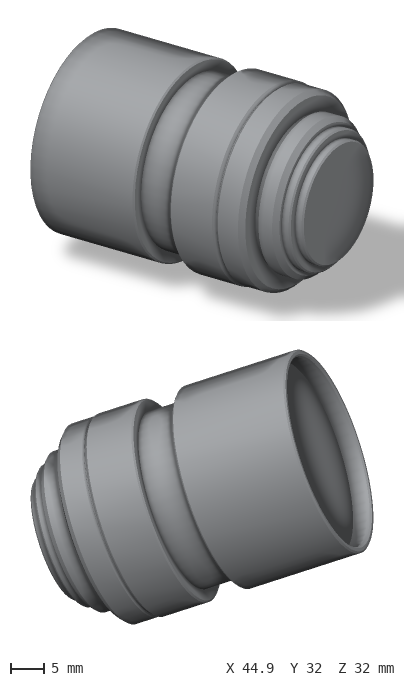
import cadquery as cq


EDGE_BREAK = 0.25
SHOULDER_CHAMFER = 0.8
FOCUS_REAR_CHAMFER = 0.45

STEPS = [
    (18.7, 16.0, EDGE_BREAK, EDGE_BREAK),
    (25.1, 14.0, 0, 0),
    (33.15, 16.0, EDGE_BREAK, FOCUS_REAR_CHAMFER),
    (33.35, 15.5, 0, 0),
    (38.0, 15.8, EDGE_BREAK, SHOULDER_CHAMFER),
    (38.85, 12.25, 0, 0),
    (42.1, 12.7, 0, SHOULDER_CHAMFER),
    (43.55, 11.25, 0, EDGE_BREAK),
    (44.92, 9.8, 0, EDGE_BREAK),
]

RECESS_RADIUS = 15.0
RECESS_DEPTH = 3.0
RECESS_CHAMFER = 0.25


def turned_step(front_x, rear_x, radius, front_chamfer, rear_chamfer):
    """Solid disc along X with an optional chamfer at each end."""
    step = cq.Workplane("YZ").workplane(offset=front_x).circle(radius).extrude(rear_x - front_x)
    if front_chamfer:
        step = step.faces("<X").chamfer(front_chamfer)
    if rear_chamfer:
        step = step.faces(">X").chamfer(rear_chamfer)
    return step


def barrel_body():
    """All outer steps joined end to end."""
    body = cq.Workplane("YZ")
    front_x = 0
    for rear_x, radius, front_chamfer, rear_chamfer in STEPS:
        body = body.add(turned_step(front_x, rear_x, radius, front_chamfer, rear_chamfer))
        front_x = rear_x
    return body.combine()


def front_recess():
    """Round cutter for the front recess, flared at its mouth."""
    mouth_radius = RECESS_RADIUS + RECESS_CHAMFER
    profile = [
        (0, 0),
        (0, mouth_radius),
        (RECESS_CHAMFER, RECESS_RADIUS),
        (RECESS_DEPTH, RECESS_RADIUS),
        (RECESS_DEPTH, 0),
    ]
    return cq.Workplane("XY").polyline(profile).close().revolve(360, (0, 0, 0), (1, 0, 0))


result = barrel_body().cut(front_recess())